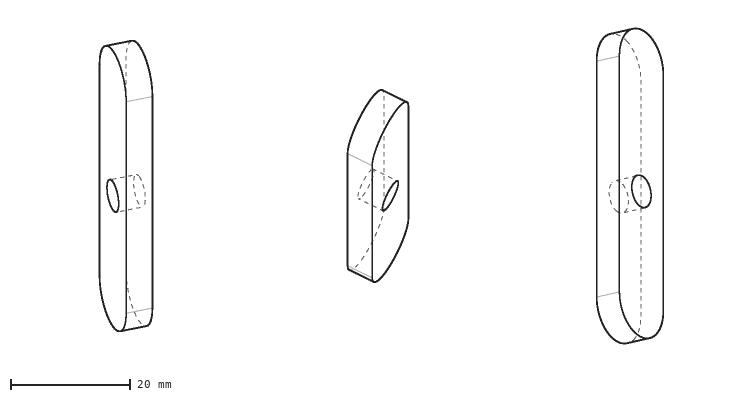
import cadquery as cq

length = 54.4
width = 12.7
thickness = 4.75
hole_diameter = 5.55
hole_drop = 1.4

bar = cq.Workplane("XZ").slot2D(length, width, angle=90).extrude(thickness)

hole = (
    cq.Workplane("XZ")
    .center(0, -hole_drop)
    .circle(hole_diameter / 2)
    .extrude(thickness)
)

result = bar.cut(hole).translate((0, thickness / 2, 0))